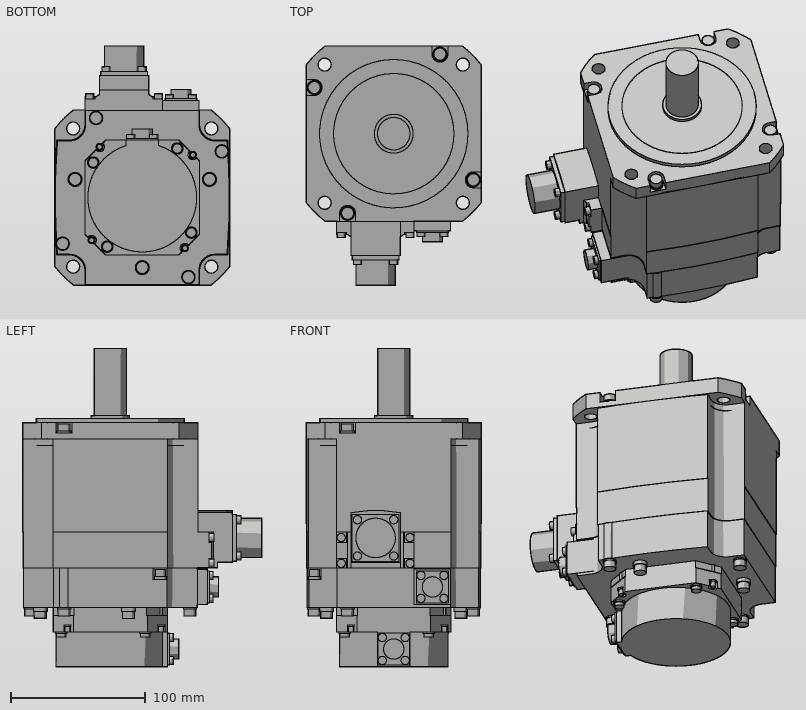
import cadquery as cq
import math

cap_top_z = 25.7
body_bottom_z = 44.0
rear_housing_top_z = 73.5
stator_ring_top_z = 100.0
spacer_bottom_z = 164.0
flange_bottom_z = 169.0
flange_top_z = 181.0
pilot_top_z = 184.0
collar_top_z = 186.2
shaft_end_z = 236.0

flange_width = 130.0
flange_half = flange_width / 2
flange_corner_radius = 82.5
shaft_radius = 12.0
collar_radius = 14.5
pilot_radius = 55.0
pilot_recess_radius = 44.5
pilot_recess_depth = 0.2
mount_hole_offset = 51.2
mount_hole_radius = 4.7

corner_inset = 42.5
corner_fillet = 11.8
spacer_fillet = 10.9
crown_rise = 1.7
stator_half = flange_half
stator_ring_half = 64.7
housing_half = 64.5
housing_inset = 42.0

body_screw = (-34.2, -59.0)
pocket_half_width = 6.0
flange_pocket_depth = 7.8
body_screw_boss_radius = 5.5
screw_head_radius = 4.5

cover_half = 42.5
cover_flat_half = 27.4
cap_radius = 40.4
cap_pad_half_width = 12.0
cap_pad_y = -cover_half


def block(x_range, y_range, z_range):
    """Box between two limits along each axis."""
    return (
        cq.Workplane("XY")
        .box(
            x_range[1] - x_range[0],
            y_range[1] - y_range[0],
            z_range[1] - z_range[0],
            centered=False,
        )
        .translate((x_range[0], y_range[0], z_range[0]))
    )


def around(center, half):
    """Limits of a span centred on a coordinate."""
    return (center - half, center + half)


def rod_z(point, z_start, z_end, radius):
    """Cylinder along Z at an (x, y) point."""
    solid = cq.Solid.makeCylinder(radius, z_end - z_start, cq.Vector(*point, z_start), cq.Vector(0, 0, 1))
    return cq.Workplane(obj=solid)


def rod_y(x, z, y_back, y_front, radius):
    """Cylinder along -Y, from y_back out to y_front."""
    solid = cq.Solid.makeCylinder(radius, y_back - y_front, cq.Vector(x, y_back, z), cq.Vector(0, -1, 0))
    return cq.Workplane(obj=solid)


def quarter_turns(point, step=90):
    """The point repeated about the Z axis."""
    x, y = point
    for degrees in range(0, 360, step):
        angle = math.radians(degrees)
        yield (
            x * math.cos(angle) - y * math.sin(angle),
            x * math.sin(angle) + y * math.cos(angle),
        )


def square_corners(x, y, offset):
    """Four corners of a square centred on (x, y)."""
    return [(x + i * offset, y + j * offset) for i in (-1, 1) for j in (-1, 1)]


def screw_z(point, seat_z, washer, head):
    """Washer and head above or below a seat; each is (radius, height), negative downward."""
    washer_z = seat_z + washer[1]
    head_z = washer_z + head[1]
    washer_solid = rod_z(point, min(seat_z, washer_z), max(seat_z, washer_z), washer[0])
    head_solid = rod_z(point, min(washer_z, head_z), max(washer_z, head_z), head[0])
    return washer_solid.union(head_solid)


def cut_corner_notches(prism, z_range, inset, fillet):
    """Cut the four body corners back to the inset, with rounded inner edges."""
    reach = 2 * flange_half
    cutter = block((inset, reach), (inset, reach), z_range)
    cutter = cutter.edges("|Z and <X and <Y").fillet(fillet)
    for turn in range(0, 360, 90):
        prism = prism.cut(cutter.rotate((0, 0, 0), (0, 0, 1), turn))
    return prism


def body_section(half, z_range, inset, fillet):
    """Prism with flat front and back, crowned left and right sides and notched corners."""
    radius = (corner_inset ** 2 + crown_rise ** 2) / (2 * crown_rise)
    edge_x = half - radius + math.sqrt(radius ** 2 - half ** 2)
    prism = (
        cq.Workplane("XY")
        .workplane(offset=z_range[0])
        .moveTo(-edge_x, -half)
        .lineTo(edge_x, -half)
        .threePointArc((half, 0), (edge_x, half))
        .lineTo(-edge_x, half)
        .threePointArc((-half, 0), (-edge_x, -half))
        .close()
        .extrude(z_range[1] - z_range[0])
    )
    return cut_corner_notches(prism, z_range, inset, fillet)


def make_flange():
    z_range = (flange_bottom_z, flange_top_z)
    plate = block(around(0, flange_half), around(0, flange_half), z_range)
    plate = plate.intersect(rod_z((0, 0), *z_range, flange_corner_radius))
    for point in square_corners(0, 0, mount_hole_offset):
        plate = plate.cut(rod_z(point, *z_range, mount_hole_radius))
    pilot = rod_z((0, 0), flange_top_z, pilot_top_z, pilot_radius)
    pilot = pilot.cut(rod_z((0, 0), pilot_top_z - pilot_recess_depth, pilot_top_z, pilot_recess_radius))
    collar = rod_z((0, 0), flange_top_z, collar_top_z, collar_radius)
    shaft = rod_z((0, 0), flange_top_z, shaft_end_z, shaft_radius)
    return plate.union(pilot).union(collar).union(shaft)


def cut_flange_pockets(part):
    """U-shaped pockets open to the flange sides, each with a screw on its floor."""
    floor_z = flange_top_z - flange_pocket_depth
    x, y = body_screw
    pocket = rod_z(body_screw, floor_z, flange_top_z, pocket_half_width)
    pocket = pocket.union(
        block(around(x, pocket_half_width), (-flange_half, y), (floor_z, flange_top_z))
    )
    washer = (5.2, 1.5)
    head = (screw_head_radius, 5.2)
    screw = screw_z(body_screw, floor_z, washer, head)
    for turn in range(0, 360, 90):
        part = part.cut(pocket.rotate((0, 0, 0), (0, 0, 1), turn))
        part = part.union(screw.rotate((0, 0, 0), (0, 0, 1), turn))
    return part


def make_body():
    spacer = body_section(stator_half, (spacer_bottom_z, flange_bottom_z), corner_inset, spacer_fillet)
    stator = body_section(stator_half, (stator_ring_top_z, spacer_bottom_z), corner_inset, corner_fillet)
    ring_z = (rear_housing_top_z, stator_ring_top_z)
    stator_ring = body_section(stator_ring_half, ring_z, corner_inset, corner_fillet)
    housing_z = (body_bottom_z, rear_housing_top_z)
    housing = body_section(housing_half, housing_z, housing_inset, corner_fillet)
    body = spacer.union(stator).union(stator_ring).union(housing)
    for point in quarter_turns((body_screw[1], -body_screw[0]), 180):
        body = body.union(rod_z(point, body_bottom_z, rear_housing_top_z, body_screw_boss_radius))
    return body


def cut_housing_pocket(body):
    """Corner pocket under the stator, open to two faces, holding one screw."""
    screw_point = (-58.8, -37.3)
    inner_x = -53.8
    inner_y = -31.6
    floor_z = 64.7
    pocket = block((-flange_half, inner_x), (-corner_inset, inner_y), (floor_z, rear_housing_top_z))
    pocket_corner_radius = 4.5
    washer = (4.5, 2.1)
    head = (3.8, 5.2)
    pocket = pocket.edges("|Z and >X and >Y").fillet(pocket_corner_radius)
    screw = screw_z(screw_point, floor_z, washer, head)
    return body.cut(pocket).union(screw)


def add_rear_screws(body):
    """Screw heads hanging below the rear housing."""
    thin_washer = (5.0, -1.2)
    thick_washer = (5.2, -2.8)
    head = (screw_head_radius, -5.2)
    housing_screws = ((-49.8, -13.5), (49.8, -13.5), (0, 52.0))
    for point in quarter_turns(body_screw):
        body = body.union(screw_z(point, body_bottom_z, thin_washer, head))
    for point in housing_screws:
        body = body.union(screw_z(point, body_bottom_z, thick_washer, head))
    return body


def make_rear_cover():
    corner = cover_half - cover_flat_half
    rim_setback = 0.5
    rim_corner = corner + rim_setback
    rim_bottom_z = 38.2
    span = around(0, cover_half)
    cover = block(span, span, (cap_top_z, rim_bottom_z)).edges("|Z").chamfer(corner)
    rim = block(span, span, (rim_bottom_z, body_bottom_z)).edges("|Z").chamfer(rim_corner)
    cover = cover.union(rim)
    corner_screw = (-31.6, -37.5)
    pocket_radius = 3.5
    pocket_top_z = 31.0
    pocket_opening = 1.1
    pin_radius = 1.2
    corner_washer = (2.5, -1.2)
    corner_head = (2.0, -3.8)
    lower_screw = (-36.3, -26.0)
    lower_washer = (4.2, -1.2)
    lower_head = (3.5, -2.5)
    for point in quarter_turns(corner_screw):
        outward = tuple(pocket_opening * value for value in point)
        for center in (point, outward):
            cover = cover.cut(rod_z(center, cap_top_z, pocket_top_z, pocket_radius))
    for point in quarter_turns(corner_screw):
        cover = cover.union(screw_z(point, pocket_top_z, corner_washer, corner_head))
        cover = cover.union(rod_z(point, rim_bottom_z, body_bottom_z, pin_radius))
    for point in quarter_turns(lower_screw):
        cover = cover.union(screw_z(point, cap_top_z, lower_washer, lower_head))
    return cover


def plug(center, y_back, plate, screw, barrel):
    """Square connector plate with four screws and a round barrel, facing -Y.

    plate is (half size, thickness), screw is (spacing from centre, radius, height)
    and barrel is (radius, length); heights and lengths start at the plate face.
    """
    x, z = center
    half, thickness = plate
    spacing, screw_radius, screw_height = screw
    barrel_radius, barrel_length = barrel
    face_y = y_back - thickness
    solid = block(around(x, half), (face_y, y_back), around(z, half))
    solid = solid.union(rod_y(x, z, y_back, face_y - barrel_length, barrel_radius))
    for screw_x, screw_level in square_corners(x, z, spacing):
        solid = solid.union(rod_y(screw_x, screw_level, y_back, face_y - screw_height, screw_radius))
    return solid


small_plate = (11.8, 1.5)
small_screw = (8.5, 3.0, 2.8)
small_barrel = (7.5, 6.8)


def make_encoder_cap():
    cap = rod_z((0, 0), 0, cap_top_z, cap_radius)
    pad = block(around(0, cap_pad_half_width), (cap_pad_y, 0), (0, cap_top_z))
    connector_z = 13.2
    connector = plug((0, connector_z), cap_pad_y, small_plate, small_screw, small_barrel)
    return cap.union(pad).union(connector)


def make_brake_connector():
    base_x = (15.0, 42.2)
    base_z = (46.0, 72.5)
    base_front_y = -72.0
    center = (sum(base_x) / 2, sum(base_z) / 2)
    base = block(base_x, (base_front_y, -corner_inset), base_z)
    return base.union(plug(center, base_front_y, small_plate, small_screw, small_barrel))


def make_power_connector():
    center_x = -13.5
    center_z = 95.5
    back_y = -corner_inset

    ear_x = (-corner_inset, 15.0)
    ear_front_y = -74.8
    spot_face_y = -73.2
    ear_screw_front_y = -77.0
    ear_screw_spacing = 25.5
    lower_screw_z = 76.7
    upper_screw_z = 95.8
    ear_screw_radius = 3.0
    spot_half = 4.0
    lower_spot_z = (rear_housing_top_z, 80.2)
    upper_spot_z = (92.3, stator_ring_top_z)
    z_range = (rear_housing_top_z, stator_ring_top_z)
    solid = block(ear_x, (ear_front_y, back_y), z_range)
    for screw_x in around(center_x, ear_screw_spacing):
        for screw_level, spot_z in ((lower_screw_z, lower_spot_z), (upper_screw_z, upper_spot_z)):
            spot = block(around(screw_x, spot_half), (ear_front_y, spot_face_y), spot_z)
            solid = solid.cut(spot)
            solid = solid.union(rod_y(screw_x, screw_level, back_y, ear_screw_front_y, ear_screw_radius))

    tower_half = 18.5
    foot_front_y = -79.5
    bevel = 2.4
    foot_bevel_y = -76.5
    foot = (
        cq.Workplane("XY")
        .workplane(offset=rear_housing_top_z)
        .moveTo(center_x - tower_half - bevel, back_y)
        .lineTo(center_x - tower_half - bevel, ear_front_y)
        .lineTo(center_x - tower_half, foot_bevel_y)
        .lineTo(center_x - tower_half, foot_front_y)
        .lineTo(center_x + tower_half, foot_front_y)
        .lineTo(center_x + tower_half, foot_bevel_y)
        .lineTo(center_x + tower_half + bevel, ear_front_y)
        .lineTo(center_x + tower_half + bevel, back_y)
        .close()
        .extrude(stator_ring_top_z - rear_housing_top_z)
    )

    tower_bottom_z = 77.5
    tower_edge_z = 114.2
    tower_crown_z = 115.9
    tower_front_y = -90.5
    tower = (
        cq.Workplane("XZ", origin=(center_x, back_y, 0))
        .moveTo(-tower_half, tower_bottom_z)
        .lineTo(tower_half, tower_bottom_z)
        .lineTo(tower_half, tower_edge_z)
        .threePointArc((0, tower_crown_z), (-tower_half, tower_edge_z))
        .close()
        .extrude(back_y - tower_front_y)
    )
    plate = (17.5, 3.0)
    plate_screw = (13.5, 3.0, 3.5)
    barrel = (14.6, 18.9)
    connector = plug((center_x, center_z), tower_front_y, plate, plate_screw, barrel)
    return solid.union(foot).union(tower).union(connector)


body = add_rear_screws(cut_housing_pocket(make_body()))
flange = make_flange()
result = body.union(flange)
result = cut_flange_pockets(result)
for section in (make_rear_cover(), make_encoder_cap(), make_brake_connector(), make_power_connector()):
    result = result.union(section)